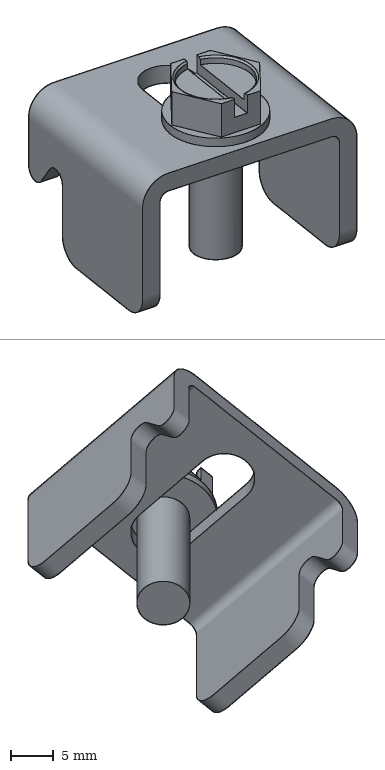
import cadquery as cq
import math

LENGTH = 24.65
WIDTH = 29.9
HEIGHT = 19.08
SHEET = 2.45
BEND_RADIUS = 3.6
CORNER_RADIUS = 3.0

HOOK_DEPTH = 11.63
NOTCH_TOP_DEPTH = 7.78
NOTCH_WALL_X = 7.3
HOOK_RADIUS = 1.5

SLOT_END_GAP = 3.45
SLOT_WIDTH = 7.12

SCREW_X = 17.3
SHANK_DIAMETER = 6.22
SHANK_DEPTH = 17.4
WASHER_DIAMETER = 12.68
WASHER_THICKNESS = 1.17
HEAD_ACROSS_FLATS = 10.92
HEAD_ACROSS_POINTS = 12.25
HEAD_SIDE_FLAT = 5.5
HEAD_HEIGHT = 4.55
DRIVE_WIDTH = 1.75
DRIVE_DEPTH = 2.45
RECESS_DIAMETER = 9.57
RECESS_DEPTH = 1.0
RECESS_CHAMFER = 0.25


def u_channel():
    """Bent sheet with square-ended legs."""
    outer = (
        cq.Workplane("XY")
        .box(LENGTH, WIDTH, HEIGHT, centered=(False, True, False))
        .translate((0, 0, -HEIGHT))
        .edges("|X and >Z")
        .fillet(BEND_RADIUS)
    )
    inside = (
        cq.Workplane("XY")
        .box(LENGTH, WIDTH - 2 * SHEET, HEIGHT - SHEET, centered=(False, True, False))
        .translate((0, 0, -HEIGHT))
        .edges("|X and >Z")
        .fillet(BEND_RADIUS - SHEET)
    )
    return outer.cut(inside)


def leg_envelope():
    """Leg outline over the full width; a sloping line joins hook tip and notch arc tangentially."""
    r = HOOK_RADIUS
    tip_x, tip_z = r, r - HOOK_DEPTH
    notch_x, notch_z = NOTCH_WALL_X - r, -NOTCH_TOP_DEPTH - r
    run, rise = notch_x - tip_x, notch_z - tip_z
    slope = math.atan2(rise, run) + math.asin(2 * r / math.hypot(run, rise))
    tangent_x, tangent_z = r * math.sin(slope), r * math.cos(slope)
    return (
        cq.Workplane("XZ")
        .lineTo(0, tip_z)
        .threePointArc((tip_x, -HOOK_DEPTH), (tip_x + tangent_x, tip_z - tangent_z))
        .lineTo(notch_x - tangent_x, notch_z + tangent_z)
        .threePointArc((notch_x, -NOTCH_TOP_DEPTH), (NOTCH_WALL_X, notch_z))
        .lineTo(NOTCH_WALL_X, -HEIGHT)
        .lineTo(LENGTH, -HEIGHT)
        .lineTo(LENGTH, 0)
        .close()
        .extrude(WIDTH / 2, both=True)
        .faces("<Z")
        .edges("|Y")
        .fillet(CORNER_RADIUS)
    )


def make_bracket():
    """Bent sheet with hooked legs and a slot through its top."""
    slot = (
        cq.Workplane("XY")
        .center(LENGTH / 2, 0)
        .slot2D(LENGTH - 2 * SLOT_END_GAP, SLOT_WIDTH)
        .extrude(-SHEET)
    )
    return u_channel().intersect(leg_envelope()).cut(slot)


def make_washer():
    """Plain washer resting on the bracket, its bore fitting the shank."""
    return (
        cq.Workplane("XY")
        .center(SCREW_X, 0)
        .circle(WASHER_DIAMETER / 2)
        .circle(SHANK_DIAMETER / 2)
        .extrude(WASHER_THICKNESS)
    )


def make_screw():
    """Hexagon-head screw with a shallow chamfered recess and a driver slot across its head."""
    head_top = WASHER_THICKNESS + HEAD_HEIGHT
    half_flats = HEAD_ACROSS_FLATS / 2
    half_points = HEAD_ACROSS_POINTS / 2
    half_side = HEAD_SIDE_FLAT / 2
    head_corners = [
        (half_flats, half_side),
        (0, half_points),
        (-half_flats, half_side),
        (-half_flats, -half_side),
        (0, -half_points),
        (half_flats, -half_side),
    ]
    head = (
        cq.Workplane("XY", origin=(SCREW_X, 0, WASHER_THICKNESS))
        .polyline(head_corners)
        .close()
        .extrude(HEAD_HEIGHT)
    )
    shank = (
        cq.Workplane("XY", origin=(SCREW_X, 0, -SHANK_DEPTH))
        .circle(SHANK_DIAMETER / 2)
        .extrude(SHANK_DEPTH + WASHER_THICKNESS)
    )
    recess = (
        cq.Workplane("XY", origin=(SCREW_X, 0, head_top - RECESS_DEPTH))
        .circle(RECESS_DIAMETER / 2)
        .extrude(RECESS_DEPTH)
    )
    recess_rim = (
        cq.Workplane("XY", origin=(SCREW_X, 0, head_top - RECESS_CHAMFER))
        .circle(RECESS_DIAMETER / 2)
        .workplane(offset=RECESS_CHAMFER)
        .circle(RECESS_DIAMETER / 2 + RECESS_CHAMFER)
        .loft()
    )
    drive_slot = (
        cq.Workplane("XY", origin=(SCREW_X, 0, head_top - DRIVE_DEPTH))
        .rect(HEAD_ACROSS_FLATS, DRIVE_WIDTH)
        .extrude(DRIVE_DEPTH)
    )
    return head.union(shank).cut(recess).cut(recess_rim).cut(drive_slot)


bracket = make_bracket()
washer = make_washer()
screw = make_screw()

result = cq.Compound.makeCompound([bracket.val(), washer.val(), screw.val()])